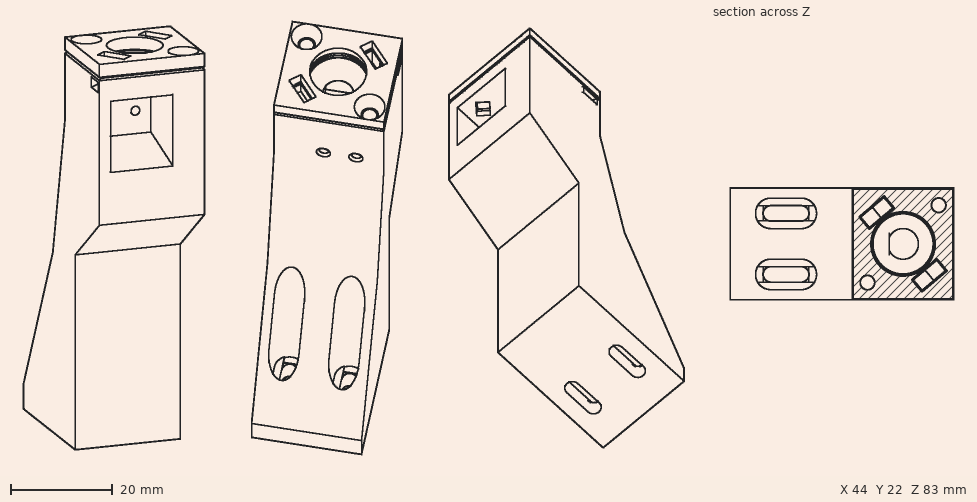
import cadquery as cq
import math

width = 22.0
total_length = 44.0
total_height = 83.0

plate_thickness = 3.0
joint_z = total_height - plate_thickness
joint_bevel = 0.35

head_length = 20.0
head_x = total_length - head_length
head_centre_x = total_length - head_length / 2
head_bottom_z = 40.0
head_slope_z = 50.0
leg_length = 30.0
toe_height = 5.0
ramp_slope = (head_slope_z - toe_height) / head_x
web_start_x = 17.0
web_start_z = toe_height + ramp_slope * web_start_x
web_top_z = 66.0

slot_y = 6.0
slot_travel = 6.0
slot_width = 3.0
recess_width = 6.0
recess_length = slot_travel + recess_width
slot_x = web_start_x - recess_length / 2
recess_floor_z = 5.0
bridge_step = 0.3

ball_diameter = 12.2
ball_z = joint_z + 0.5
ring_depth = 1.0

bay_back_x = 31.3
bay_depth = total_length - bay_back_x
bay_roof_z = 75.2
bay_centre_y = -2.15
bay_width = 13.0
bay_floor_z = 64.0
bay_floor_angle = 15.0

switch_hole_diameter = 1.8
switch_mouth_diameter = 2.8
switch_hole_pitch = 6.5
switch_hole_z = 68.7

screw_dx = 7.0
screw_dy = 7.6
screw_head_diameter = 6.0
screw_clearance_diameter = 3.4
screw_hole_diameter = 2.8
screw_hole_depth = 12.0

pocket_length = 6.0
pocket_width = 2.7
pocket_angle = 40.0
pocket_offset = 8.05
well_floor_z = 75.0
channel_width = pocket_length / 2
channel_floor_z = 77.0
channel_height = 2.1
channel_reach = 12.0


def side_prism(points, depth=width, centre_y=0.0):
    """Extrude an X-Z outline along Y, centred on centre_y."""
    outline = cq.Workplane("XZ", origin=(0, centre_y, 0)).polyline(points).close()
    return outline.extrude(depth / 2, both=True)


def cone(base, base_diameter, tip_diameter, height, direction):
    """Cone that runs from its base to its tip along the direction."""
    return cq.Workplane(cq.Solid.makeCone(
        base_diameter / 2, tip_diameter / 2, height, cq.Vector(*base), cq.Vector(*direction)))


def mounting_slot(y):
    """Through slot below a wide recess, joined by two thin steps that narrow the opening."""
    def level(z):
        return cq.Workplane("XY", origin=(slot_x, y, z))

    recess = level(recess_floor_z).slot2D(recess_length, recess_width).extrude(total_height)
    upper_step_z = recess_floor_z - bridge_step
    lower_step_z = upper_step_z - bridge_step
    strip = level(upper_step_z).rect(recess_length, slot_width).extrude(bridge_step)
    round_ends = level(upper_step_z).slot2D(recess_length, recess_width).extrude(bridge_step)
    upper_step = strip.intersect(round_ends)
    lower_step = level(lower_step_z).rect(slot_travel + slot_width, slot_width).extrude(bridge_step)
    through = level(0).slot2D(slot_travel + slot_width, slot_width).extrude(lower_step_z)
    return [recess, upper_step, lower_step, through]


def switch_bay():
    floor_drop = bay_depth * math.tan(math.radians(bay_floor_angle))
    return side_prism([
        (bay_back_x, bay_roof_z),
        (total_length, bay_roof_z),
        (total_length, bay_floor_z - floor_drop),
        (bay_back_x, bay_floor_z),
    ], bay_width, bay_centre_y)


def switch_hole(side):
    """Screw hole through the back wall of the bay, with a conical mouth."""
    centre = (head_x, bay_centre_y + side * switch_hole_pitch / 2, switch_hole_z)
    bore = cq.Workplane("YZ", origin=centre).circle(switch_hole_diameter / 2).extrude(bay_back_x - head_x)
    mouth_depth = (switch_mouth_diameter - switch_hole_diameter) / 2
    mouth = cone(centre, switch_mouth_diameter, switch_hole_diameter, mouth_depth, (1, 0, 0))
    return bore.union(mouth)


def ball_socket():
    """Sphere with bevelled edges where it crosses the joint."""
    ball = cq.Workplane("XY", origin=(head_centre_x, 0, ball_z)).sphere(ball_diameter / 2)
    rim_radius = math.sqrt((ball_diameter / 2) ** 2 - (ball_z - joint_z) ** 2)
    bevel = (
        cq.Workplane("XZ", origin=(head_centre_x, 0, joint_z))
        .moveTo(0, -joint_bevel)
        .lineTo(rim_radius, -joint_bevel)
        .lineTo(rim_radius + joint_bevel, 0)
        .lineTo(rim_radius, joint_bevel)
        .lineTo(0, joint_bevel)
        .close()
        .revolve(360, (0, 0, 0), (0, 1, 0))
    )
    return ball.union(bevel)


def ring_groove():
    return (
        cq.Workplane("XY", origin=(head_centre_x, 0, joint_z - ring_depth))
        .circle(ball_diameter / 2)
        .extrude(ring_depth)
    )


def screw_centre(side, z):
    return (head_centre_x + side * screw_dx, side * screw_dy, z)


def screw_countersink(side):
    """Tapered seat through the whole plate."""
    return cone(screw_centre(side, joint_z), screw_clearance_diameter, screw_head_diameter,
                plate_thickness, (0, 0, 1))


def screw_hole(side):
    return (
        cq.Workplane("XY", origin=screw_centre(side, joint_z))
        .circle(screw_hole_diameter / 2)
        .extrude(-screw_hole_depth)
    )


def place_pocket(shape, turn):
    """Move a shape from the pocket frame (X along the pocket, -Y outwards) to its diagonal."""
    return (
        shape.translate((0, -pocket_offset, 0))
        .rotate((0, 0, 0), (0, 0, 1), pocket_angle + turn)
        .translate((head_centre_x, 0, 0))
    )


def pocket_window(turn):
    """Pocket opening through the plate, bevelled on both sides of the joint."""
    height = total_height - channel_floor_z
    window = (
        cq.Workplane("XY", origin=(0, 0, channel_floor_z))
        .rect(pocket_length, pocket_width)
        .extrude(height)
    )
    for direction in (-1, 1):
        bevel = (
            cq.Workplane("XY", origin=(0, 0, joint_z))
            .rect(pocket_length + 2 * joint_bevel, pocket_width + 2 * joint_bevel)
            .workplane(offset=direction * joint_bevel)
            .rect(pocket_length, pocket_width)
            .loft(ruled=True)
        )
        window = window.union(bevel)
    return place_pocket(window, turn)


def pocket_well(turn):
    well = (
        cq.Workplane("XY", origin=(channel_width / 2, 0, well_floor_z))
        .rect(channel_width, pocket_width)
        .extrude(joint_z - well_floor_z)
    )
    return place_pocket(well, turn)


def pocket_channel(turn):
    """Channel from the pocket's inner wall outwards through the side of the head."""
    channel = (
        cq.Workplane("XY", origin=(-channel_width / 2, (pocket_width - channel_reach) / 2, channel_floor_z))
        .rect(channel_width, channel_reach)
        .extrude(channel_height)
    )
    return place_pocket(channel, turn)


def make_housing():
    leg = side_prism([
        (0, 0),
        (leg_length, 0),
        (leg_length, head_bottom_z),
        (head_x, head_bottom_z),
        (head_x, head_slope_z),
        (0, toe_height),
    ])
    web = side_prism([
        (web_start_x, web_start_z),
        (head_x, head_slope_z),
        (head_x, web_top_z),
    ])
    head = side_prism([
        (head_x, head_bottom_z),
        (leg_length, head_bottom_z),
        (total_length, head_slope_z),
        (total_length, joint_z),
        (head_x, joint_z),
    ])
    head = head.faces(">Z").edges().chamfer(joint_bevel)

    cutters = [switch_bay(), ball_socket(), ring_groove()]
    for side in (-1, 1):
        cutters += mounting_slot(side * slot_y)
        cutters += [switch_hole(side), screw_hole(side)]
    for turn in (0, 180):
        pocket = pocket_window(turn).union(pocket_channel(turn)).union(pocket_well(turn))
        cutters.append(pocket)

    housing = leg.union(web, clean=False).union(head, clean=False)
    for cutter in cutters:
        housing = housing.cut(cutter, clean=False)
    return housing


def make_plate():
    plate = (
        cq.Workplane("XY", origin=(head_centre_x, 0, joint_z))
        .rect(head_length, width)
        .extrude(plate_thickness)
        .faces("<Z").edges().chamfer(joint_bevel)
    )
    plate = plate.cut(ball_socket())
    for side in (-1, 1):
        plate = plate.cut(screw_countersink(side))
    for turn in (0, 180):
        plate = plate.cut(pocket_window(turn))
    return plate


housing = make_housing()
plate = make_plate()
result = cq.Compound.makeCompound([housing.val(), plate.val()])